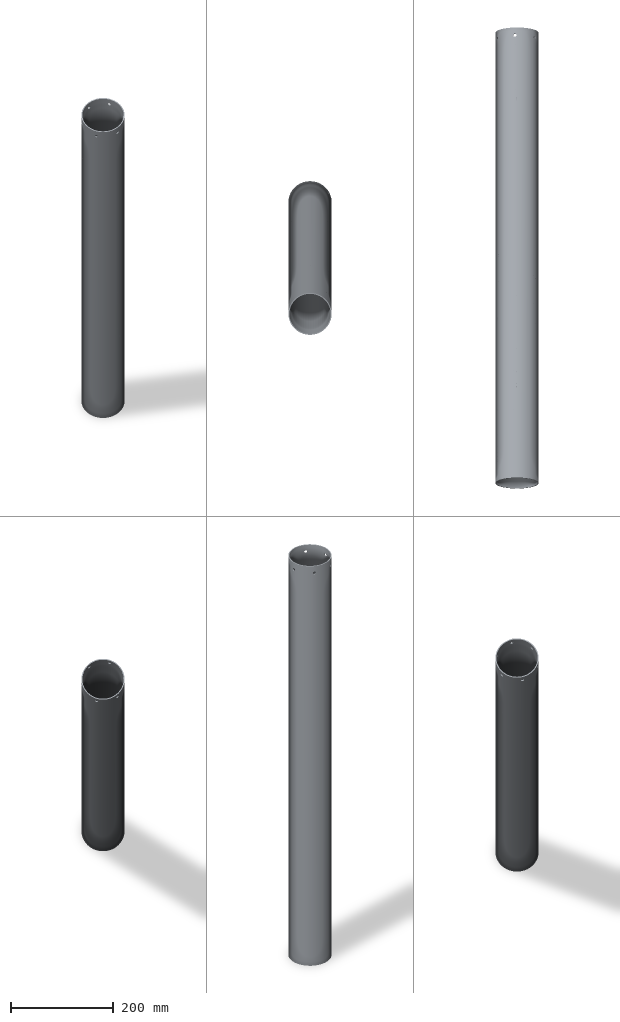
import cadquery as cq

length = 905.0
outer_diameter = 84.0
wall = 2.0

hole_count = 6
hole_diameter = 6.0
hole_drop = 15.0


def radial_hole(angle):
    """Cutter running from the tube axis out through the wall along the given direction."""
    return (
        cq.Workplane("YZ")
        .center(0, length - hole_drop)
        .circle(hole_diameter / 2)
        .extrude(outer_diameter)
        .rotate((0, 0, 0), (0, 0, 1), angle)
    )


outer_radius = outer_diameter / 2
tube = cq.Workplane("XY").circle(outer_radius).circle(outer_radius - wall).extrude(length)

for index in range(hole_count):
    tube = tube.cut(radial_hole(index * 360 / hole_count))

result = tube